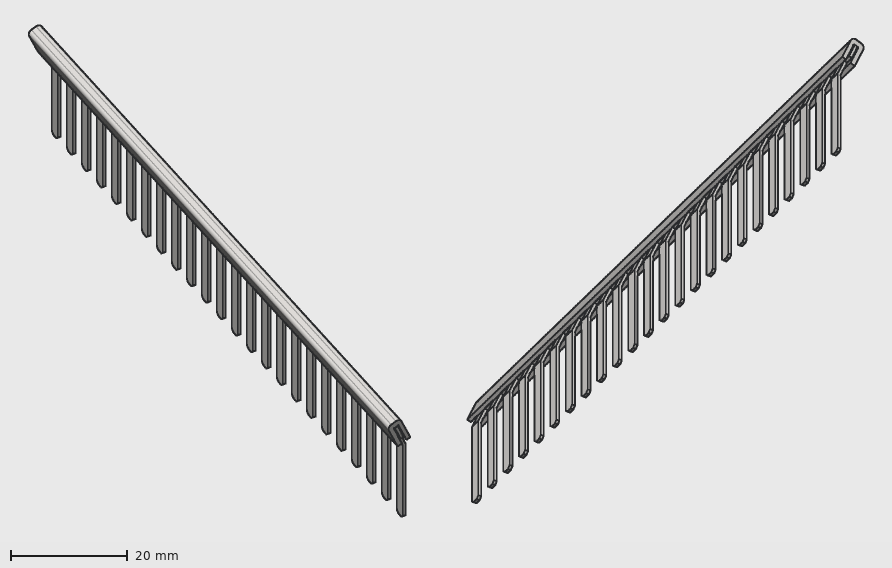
import cadquery as cq
import math

length = 123.2
leg_count = 24
lean = 22.5

sheet_thickness = 0.6
leg_width = 2.1
leg_height = 16.3
tip_chamfer = 0.5
spine_bottom = 3.5
spine_top = 6.5

housing_thickness = 2.7
housing_back_offset = 1.0
housing_bottom = 2.3
housing_top = 7.8
edge_radius = 0.9
slot_clearance = 0.18

pitch = length / leg_count
lean_angle = math.radians(lean)


def leaning(across, along):
    """YZ point counted from the back of the bend: across towards -Y, along up the lean."""
    return (
        -across * math.cos(lean_angle) - along * math.sin(lean_angle),
        leg_height - across * math.sin(lean_angle) + along * math.cos(lean_angle),
    )


def leaning_bar(back, front, bottom, top):
    """Bar of rectangular leaning cross-section over the full length."""
    corners = [(back, bottom), (front, bottom), (front, top), (back, top)]
    outline = [leaning(across, along) for across, along in corners]
    return cq.Workplane("YZ").polyline(outline).close().extrude(length)


def make_housing():
    back = -housing_back_offset
    front = back + housing_thickness
    bar = leaning_bar(back, front, housing_bottom, housing_top)
    bar = bar.edges("|X").edges(">Z or >>Z[-2]").fillet(edge_radius)
    slot = leaning_bar(-slot_clearance, sheet_thickness + slot_clearance, housing_bottom, spine_top)
    return bar.cut(slot)


def make_leg(centre_x):
    """One leg with its bent shank, which runs up to the lower edge of the spine."""
    bend_front = leg_height - sheet_thickness * math.tan(lean_angle / 2)
    side_outline = [
        (0, 0),
        (0, leg_height),
        leaning(0, spine_bottom),
        leaning(sheet_thickness, spine_bottom),
        (-sheet_thickness, bend_front),
        (-sheet_thickness, 0),
    ]
    leg = cq.Workplane("YZ").polyline(side_outline).close().extrude(leg_width)
    leg = leg.faces("<Z").edges("|Y").chamfer(tip_chamfer)
    return leg.translate((centre_x - leg_width / 2, 0, 0))


def make_comb():
    """Spine over the full length, joined to one leg in the middle of each pitch."""
    comb = leaning_bar(0, sheet_thickness, spine_bottom, spine_top)
    for i in range(leg_count):
        comb = comb.union(make_leg((i + 0.5) * pitch))
    return comb


housing = make_housing()
comb = make_comb()
result = cq.Compound.makeCompound([housing.val(), comb.val()])